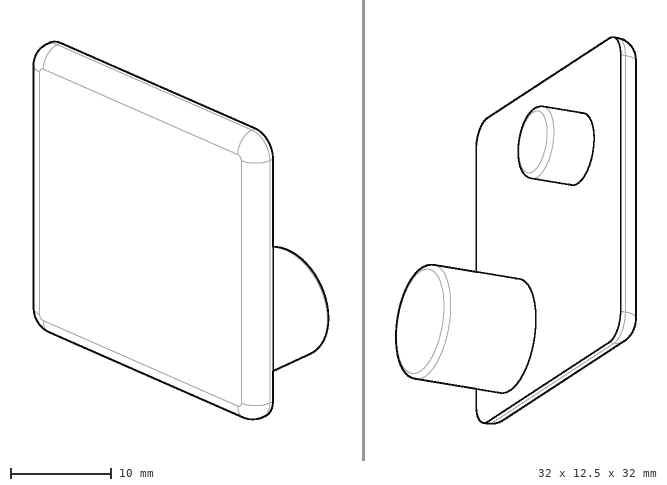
import cadquery as cq

plate_side = 32.0
plate_thickness = 2.5
corner_radius = 2.5
face_edge_radius = 2.0

peg_edge_radius = 0.5
large_peg_diameter = 11.5
large_peg_length = 10.0
large_peg_offset = 8.5
small_peg_diameter = 7.25
small_peg_length = 5.0
small_peg_offset = 6.5


def make_plate():
    """Square plate with rounded corners and a rounded rim on its outer face."""
    plate = cq.Workplane("XZ").rect(plate_side, plate_side).extrude(plate_thickness)
    plate = plate.edges("|Y").fillet(corner_radius)
    return plate.faces("<Y").edges().fillet(face_edge_radius)


def make_peg(diameter, length, x, z):
    """Round peg pointing toward +Y with a rounded free end."""
    peg = cq.Workplane("XZ").center(x, z).circle(diameter / 2).extrude(-length)
    return peg.faces(">Y").edges().fillet(peg_edge_radius)


plate = make_plate()
large_peg = make_peg(large_peg_diameter, large_peg_length, large_peg_offset, -large_peg_offset)
small_peg = make_peg(small_peg_diameter, small_peg_length, -small_peg_offset, small_peg_offset)

result = plate.union(large_peg).union(small_peg)